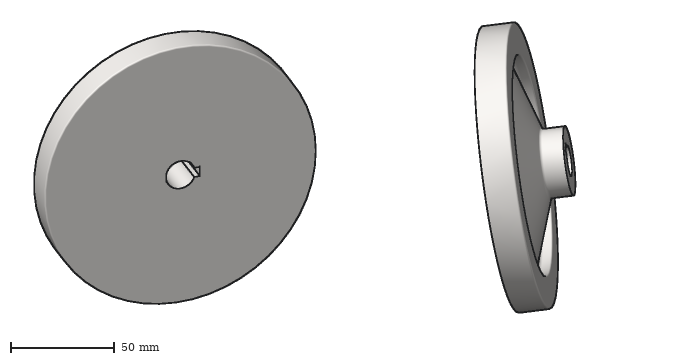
import cadquery as cq
import math

wheel_diameter = 140.0
overall_width = 34.0
rim_width = 16.0
rim_edge_radius = 0.8

hub_radius = 34.0 / 2
hub_length = 11.3
bore_diameter = 15.0
keyway_width = 5.0
keyway_reach = 10.0

web_angle = 20.0
recess_radius = 108.0 / 2
web_fillet_radius = 1.5

wheel_radius = wheel_diameter / 2
rim_face = overall_width - rim_width


def web_depth(radius):
    """X of the cone, which meets the hub cylinder at hub_length."""
    return hub_length + (radius - hub_radius) * math.tan(math.radians(web_angle))


root_center_radius = hub_radius + web_fillet_radius
corner_center_radius = recess_radius - web_fillet_radius
center_offset = web_fillet_radius / math.cos(math.radians(web_angle))
root_center_x = web_depth(root_center_radius) - center_offset
corner_center_x = web_depth(corner_center_radius) - center_offset


def fillet_point(center_x, center_radius, angle):
    """Point on a web fillet; 0 degrees is +X and 90 degrees is outward."""
    a = math.radians(angle)
    return (
        center_x + web_fillet_radius * math.cos(a),
        center_radius + web_fillet_radius * math.sin(a),
    )


def make_wheel():
    """Hub, web and rim as one revolved (X, radius) profile."""
    quarter_arc_mid = 1 - math.sqrt(0.5)
    edge_mid = rim_edge_radius * quarter_arc_mid
    recess_edge = recess_radius + rim_edge_radius
    profile = (
        cq.Workplane("XY")
        .moveTo(0, 0)
        .lineTo(0, hub_radius)
        .lineTo(root_center_x, hub_radius)
        .threePointArc(
            fillet_point(root_center_x, root_center_radius, -(90 + web_angle) / 2),
            fillet_point(root_center_x, root_center_radius, -web_angle),
        )
        .lineTo(*fillet_point(corner_center_x, corner_center_radius, -web_angle))
        .threePointArc(
            fillet_point(corner_center_x, corner_center_radius, (90 - web_angle) / 2),
            (corner_center_x, recess_radius),
        )
        .lineTo(rim_face + rim_edge_radius, recess_radius)
        .threePointArc(
            (rim_face + edge_mid, recess_radius + edge_mid),
            (rim_face, recess_edge),
        )
        .lineTo(rim_face, wheel_radius - rim_edge_radius)
        .threePointArc(
            (rim_face + edge_mid, wheel_radius - edge_mid),
            (rim_face + rim_edge_radius, wheel_radius),
        )
        .lineTo(overall_width - rim_edge_radius, wheel_radius)
        .threePointArc(
            (overall_width - edge_mid, wheel_radius - edge_mid),
            (overall_width, wheel_radius - rim_edge_radius),
        )
        .lineTo(overall_width, 0)
        .close()
    )
    return profile.revolve(360, (0, 0, 0), (1, 0, 0))


def make_keyed_bore():
    """Through bore with a keyway on the +Y side."""
    bore = cq.Workplane("YZ").circle(bore_diameter / 2).extrude(overall_width)
    keyway = cq.Workplane("XY").box(
        overall_width, keyway_reach, keyway_width, centered=(False, False, True)
    )
    return bore.union(keyway)


result = make_wheel().cut(make_keyed_bore())